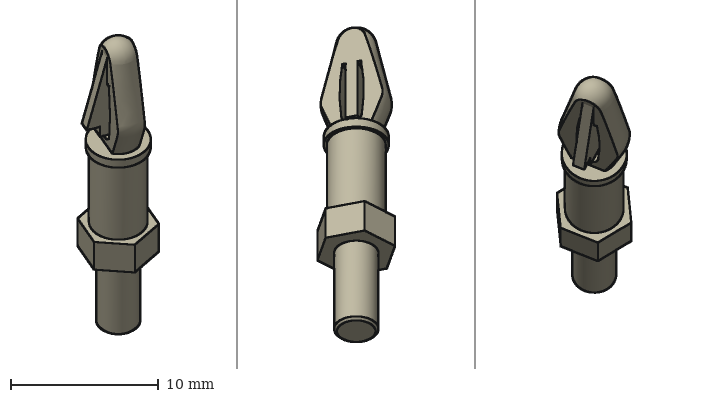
import cadquery as cq

total_height = 24.63
stud_diameter = 3.0
stud_chamfer = 0.2
hex_bottom = 6.4
hex_top = 8.82
hex_across_corners = 5.55
body_diameter = 4.0
flange_bottom = 15.27
flange_top = 15.95
flange_diameter = 4.4

head_thickness = 2.0
head_base_radius = 1.6
knee_bottom_radius = 2.3
knee_bottom = 17.95
knee_radius = 2.41
knee_height = 18.52
knee_top_radius = 2.36
knee_top = 18.97
dome_base = 23.55
dome_radius = 1.4

window_top = 21.4
window_top_half_width = 0.67
window_middle = 18.85
window_half_width = 0.85
window_lower = 17.12
window_lower_half_width = 0.75
window_bottom = 16.45

barb_width = 0.84
barb_top = 23.67
barb_tip_reach = 2.5
barb_tip_height = 17.85
barb_step_reach = 1.53
barb_bottom = 16.97
barb_back = head_thickness / 2


def cylinder(diameter, bottom, top):
    return cq.Workplane("XY").workplane(offset=bottom).circle(diameter / 2).extrude(top - bottom)


def make_post():
    """Stud, hexagonal collar, round body and flange."""
    stud = cylinder(stud_diameter, 0, hex_bottom).faces("<Z").chamfer(stud_chamfer)
    collar = (
        cq.Workplane("XY")
        .workplane(offset=hex_bottom)
        .polygon(6, hex_across_corners)
        .extrude(hex_top - hex_bottom)
    )
    body = cylinder(body_diameter, hex_top, flange_bottom)
    flange = cylinder(flange_diameter, flange_bottom, flange_top)
    return stud.union(collar).union(body).union(flange)


def make_head():
    """Domed, double-tapered head, flattened on both Y sides."""
    dome_centre = total_height - dome_radius
    dome_base_radius = (dome_radius**2 - (dome_base - dome_centre) ** 2) ** 0.5
    dome_middle = dome_radius * 0.5**0.5
    revolved = (
        cq.Workplane("XZ")
        .moveTo(0, flange_top)
        .lineTo(head_base_radius, flange_top)
        .lineTo(knee_bottom_radius, knee_bottom)
        .threePointArc((knee_radius, knee_height), (knee_top_radius, knee_top))
        .lineTo(dome_base_radius, dome_base)
        .threePointArc((dome_middle, dome_centre + dome_middle), (0, total_height))
        .close()
        .revolve(360, (0, 0, 0), (0, 1, 0))
    )
    slab = (
        cq.Workplane("XY")
        .workplane(offset=flange_top)
        .rect(3 * knee_radius, head_thickness)
        .extrude(total_height - flange_top)
    )
    return revolved.intersect(slab)


def make_window():
    """Opening with bowed sides and a rounded bottom."""
    return (
        cq.Workplane("XZ")
        .moveTo(-window_top_half_width, window_top)
        .lineTo(window_top_half_width, window_top)
        .threePointArc((window_half_width, window_middle), (window_lower_half_width, window_lower))
        .threePointArc((0, window_bottom), (-window_lower_half_width, window_lower))
        .threePointArc((-window_half_width, window_middle), (-window_top_half_width, window_top))
        .close()
        .extrude(head_thickness, both=True)
    )


def make_barb():
    """Wedge that widens downwards and ends in a stepped catch."""
    return (
        cq.Workplane("YZ")
        .moveTo(-head_thickness / 2, barb_top)
        .lineTo(-barb_tip_reach, barb_tip_height)
        .lineTo(-barb_step_reach, barb_tip_height)
        .lineTo(-barb_step_reach, barb_bottom)
        .lineTo(barb_back, barb_bottom)
        .lineTo(barb_back, window_top)
        .lineTo(-head_thickness / 2, window_top)
        .close()
        .extrude(barb_width / 2, both=True)
    )


result = make_post().union(make_head().cut(make_window())).union(make_barb())